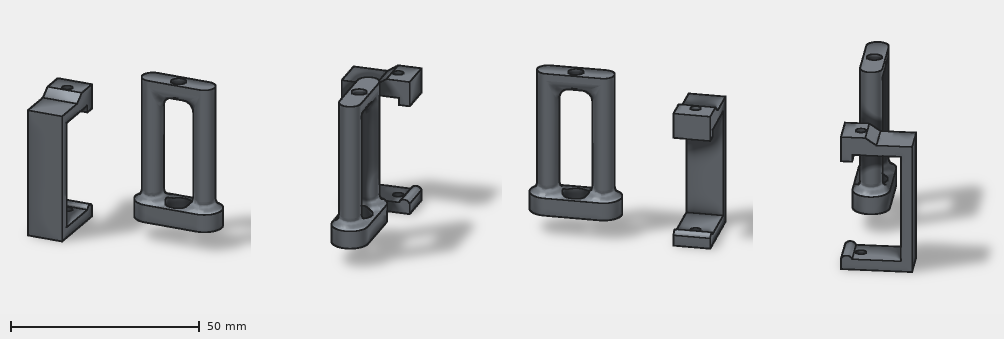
import cadquery as cq

clamp_width = 10.0
clamp_depth = 19.0
clamp_height = 38.0
clamp_back_y = 4.85
wall = 3.0
lip_depth = 3.0
lip_drop = 2.0
head_rise = 2.0
head_flat = 6.5
head_slope = 3.0
bead_rise = 1.0
clamp_hole_diameter = 2.8

total_length = 50.0
handle_bottom_z = 5.5
handle_height = 40.0
foot_length = 25.0
foot_width = 10.0
foot_height = 5.0
leg_diameter = 6.0
leg_spacing = 15.0
bridge_side_height = 2.0
blend_radius = 3.0
counterbore_diameter = 7.2
counterbore_depth = 3.0
foot_hole_diameter = 3.1
top_hole_diameter = 4.1
top_hole_depth = 4.0

root_margin = 0.5

leg_radius = leg_diameter / 2
handle_x = total_length - foot_length / 2
foot_top_z = handle_bottom_z + foot_height
handle_top_z = handle_bottom_z + handle_height
leg_joint_z = (foot_top_z + handle_top_z) / 2
bridge_axis_z = handle_top_z - bridge_side_height


def make_clamp():
    """C-shaped bracket with a thick upper head, a lip, a bead and a through hole."""
    front_y = clamp_back_y - clamp_depth
    spine_y = front_y + wall
    lip_y = clamp_back_y - lip_depth
    arm_top_z = clamp_height - head_rise
    arm_under_z = arm_top_z - wall
    slope_start_y = clamp_back_y - head_flat
    body = (
        cq.Workplane("YZ")
        .moveTo(front_y, 0)
        .lineTo(clamp_back_y, 0)
        .lineTo(clamp_back_y, wall)
        .threePointArc((clamp_back_y - lip_depth / 2, wall + bead_rise), (lip_y, wall))
        .lineTo(spine_y, wall)
        .lineTo(spine_y, arm_under_z)
        .lineTo(lip_y, arm_under_z)
        .lineTo(lip_y, arm_under_z - lip_drop)
        .lineTo(clamp_back_y, arm_under_z - lip_drop)
        .lineTo(clamp_back_y, clamp_height)
        .lineTo(slope_start_y, clamp_height)
        .lineTo(slope_start_y - head_slope, arm_top_z)
        .lineTo(front_y, arm_top_z)
        .close()
        .extrude(clamp_width)
    )
    hole = (
        cq.Workplane("XY")
        .center(clamp_width / 2, 0)
        .circle(clamp_hole_diameter / 2)
        .extrude(clamp_height)
    )
    return body.cut(hole)


def vertical_cylinder(diameter, bottom_z, height):
    """Cylinder on the vertical centre line of the handle."""
    return (
        cq.Workplane("XY", origin=(handle_x, 0, bottom_z))
        .circle(diameter / 2)
        .extrude(height)
    )


def make_leg_pair(bottom_z, top_z):
    """Two round legs, the right one a mirror image so that their seams face each other."""
    left_leg = (
        cq.Workplane("XY", origin=(handle_x - leg_spacing / 2, 0, bottom_z))
        .circle(leg_radius)
        .extrude(top_z - bottom_z)
    )
    return left_leg.union(left_leg.mirror("YZ", (handle_x, 0, 0)))


def make_bridge():
    """Bar between the leg axes with a half-round underside."""
    return (
        cq.Workplane("YZ", origin=(handle_x - leg_spacing / 2, 0, 0))
        .moveTo(-leg_radius, handle_top_z)
        .lineTo(-leg_radius, bridge_axis_z)
        .threePointArc((0, bridge_axis_z - leg_radius), (leg_radius, bridge_axis_z))
        .lineTo(leg_radius, handle_top_z)
        .close()
        .extrude(leg_spacing)
    )


def make_upper_frame():
    """Bridge and upper leg lengths, with the mitres between them blended."""
    frame = make_bridge().union(make_leg_pair(leg_joint_z, handle_top_z))
    back_space = (
        cq.Workplane("XY", origin=(handle_x, foot_width / 2, leg_joint_z))
        .rect(foot_length, foot_width)
        .extrude(handle_top_z - leg_joint_z)
    )
    half = frame.intersect(back_space).edges("%ELLIPSE").fillet(blend_radius)
    return half.union(half.mirror("XZ"))


def make_foot():
    """Oblong foot and lower leg lengths, with the leg roots blended."""
    foot = (
        cq.Workplane("XY", origin=(handle_x, 0, handle_bottom_z))
        .slot2D(foot_length, foot_width)
        .extrude(foot_height)
    )
    body = foot.union(make_leg_pair(foot_top_z, leg_joint_z))
    root_zone = cq.selectors.BoxSelector(
        (handle_x - foot_length / 2, -leg_radius, foot_top_z - root_margin),
        (handle_x + foot_length / 2, leg_radius, foot_top_z + root_margin),
    )
    roots = [edge for edge in body.edges(root_zone).vals() if edge.IsClosed()]
    return body.newObject(roots).fillet(blend_radius)


def make_handle():
    """Foot, legs and bridge as one body, with screw holes on the centre line."""
    counterbore_z = foot_top_z - counterbore_depth
    top_hole_z = handle_top_z - top_hole_depth
    foot = make_foot()
    foot = foot.cut(vertical_cylinder(foot_hole_diameter, handle_bottom_z, foot_height))
    foot = foot.cut(vertical_cylinder(counterbore_diameter, counterbore_z, leg_joint_z - counterbore_z))
    frame = make_upper_frame()
    frame = frame.cut(vertical_cylinder(top_hole_diameter, top_hole_z, top_hole_depth))
    return foot.union(frame)


clamp = make_clamp()
handle = make_handle()
result = cq.Compound.makeCompound([clamp.val(), handle.val()])